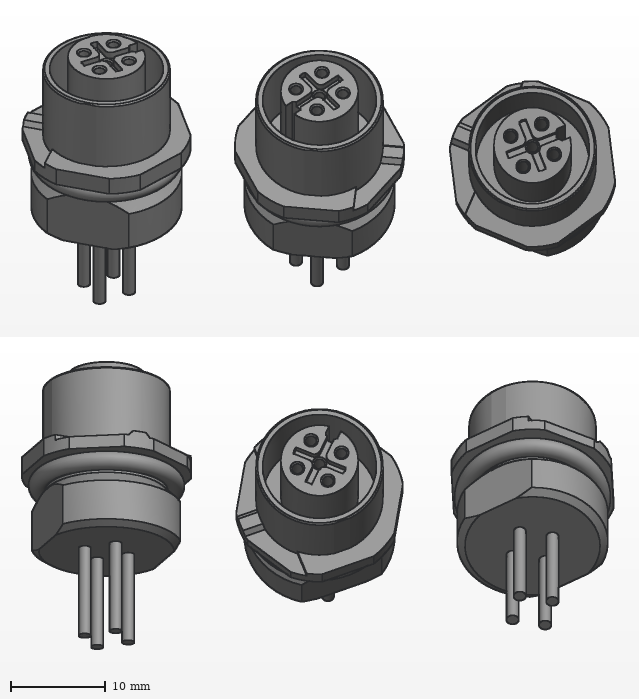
import cadquery as cq
import math

pin_length = 10.0
nut_bevel_top = 10.58
nut_shoulder = 15.0
oring_level = 17.52
flange_bottom = 18.55
step_level = 19.92
flange_top = 20.52
shell_top = 28.5
insert_top = 30.05

nut_radius = 8.02
nut_bottom_radius = 7.18
neck_radius = 6.55
neck_bottom = nut_shoulder + nut_radius - neck_radius
shell_radius = 6.75
shell_bore_radius = 6.05
shell_chamfer = 0.18
front_flat_angle = -45
back_flat_angle = front_flat_angle + 180
nut_front_flat = 6.6
nut_back_flat = 6.82
shell_flat = 6.7
oring_radius = 8.3
oring_section_radius = 1.0

flange_radius = 18.0 / 2
hex_across_flats = 17.0
hex_corner_angle = 45
key_angle = -135
step_distance = 4.45
ridge_top_width = 1.45
ridge_height = 0.5

insert_radius = 8.2 / 2
keyway_width = 1.38
keyway_bottom = 2.75
keyway_sagitta = 0.4
cross_width = 0.78
cross_reach = 2.85
cross_end_bulge = 0.1
cross_depth = 0.78
cross_corner_radius = 0.7
contact_offset = 1.77
contact_radius = 0.57
contact_mouth_radius = 0.75
contact_depth = 6.0
pin_radius = 0.65


def cylinder(radius, bottom, top):
    return cq.Workplane("XY").workplane(offset=bottom).circle(radius).extrude(top - bottom)


def revolve_profile(points):
    """Solid of revolution about Z from (radius, height) points."""
    return cq.Workplane("XZ").polyline(points).close().revolve(360, (0, 0, 0), (0, 1, 0))


def contact_places():
    return [(sx * contact_offset, sy * contact_offset) for sx in (-1, 1) for sy in (-1, 1)]


def beyond_flat(distance, angle, bottom, top):
    """Block lying outside a flat at the given distance and direction from the axis."""
    return (
        cq.Workplane("XY")
        .box(flange_radius, 2 * flange_radius, top - bottom, centered=(False, True, False))
        .translate((distance, 0, bottom))
        .rotate((0, 0, 0), (0, 0, 1), angle)
    )


def make_core():
    """Turned nut, neck and shell with opposite flats cut on the nut and the shell."""
    profile = [
        (0, pin_length),
        (nut_bottom_radius, pin_length),
        (nut_radius, nut_bevel_top),
        (nut_radius, nut_shoulder),
        (neck_radius, neck_bottom),
        (neck_radius, flange_bottom),
        (shell_radius, flange_bottom),
        (shell_radius, shell_top - shell_chamfer),
        (shell_radius - shell_chamfer, shell_top),
        (0, shell_top),
    ]
    core = revolve_profile(profile)
    core = core.cut(beyond_flat(nut_front_flat, front_flat_angle, pin_length, flange_bottom))
    core = core.cut(beyond_flat(nut_back_flat, back_flat_angle, pin_length, flange_bottom))
    for angle in (front_flat_angle, back_flat_angle):
        core = core.cut(beyond_flat(shell_flat, angle, flange_bottom, shell_top))
    return core


def make_oring():
    ring_radius = oring_radius - oring_section_radius
    section = cq.Workplane("XZ").center(ring_radius, oring_level).circle(oring_section_radius)
    return section.revolve(360, (-ring_radius, 0, 0), (-ring_radius, 1, 0))


def make_flange():
    """Hexagon with rounded corners, one side lowered except for a tapered ridge."""
    thickness = flange_top - flange_bottom
    across_corners = hex_across_flats / math.cos(math.pi / 6)
    disc = cylinder(flange_radius, flange_bottom, flange_top)
    hexagon = (
        cq.Workplane("XY")
        .workplane(offset=flange_bottom)
        .polygon(6, across_corners)
        .extrude(thickness)
        .rotate((0, 0, 0), (0, 0, 1), hex_corner_angle)
    )
    blank = disc.intersect(hexagon)
    lowered_side = beyond_flat(step_distance, key_angle, step_level, flange_top)
    half_top = ridge_top_width / 2
    half_base = half_top + ridge_height
    ridge_top = step_level + ridge_height
    ridge = (
        cq.Workplane("YZ")
        .polyline([
            (-half_base, step_level),
            (half_base, step_level),
            (half_top, ridge_top),
            (-half_top, ridge_top),
        ])
        .close()
        .extrude(flange_radius)
        .rotate((0, 0, 0), (0, 0, 1), key_angle)
        .intersect(blank)
    )
    return blank.cut(lowered_side).union(ridge)


def make_keyway():
    """Slot down the side of the insert, open outwards, with a curved inner end."""
    half = keyway_width / 2
    shoulder = keyway_bottom + keyway_sagitta
    open_end = insert_radius + half
    return (
        cq.Workplane("XY")
        .workplane(offset=flange_top)
        .moveTo(-half, open_end)
        .lineTo(-half, shoulder)
        .threePointArc((0, keyway_bottom), (half, shoulder))
        .lineTo(half, open_end)
        .close()
        .extrude(insert_top - flange_top)
    )


def make_cross():
    """Cross-shaped recess, with rounded corners where its arms meet."""
    floor = insert_top - cross_depth
    half = cross_width / 2
    tip = cross_reach + cross_end_bulge
    sketch = cq.Workplane("XY").workplane(offset=floor)
    level_arm = (
        sketch.moveTo(-cross_reach, -half)
        .lineTo(cross_reach, -half)
        .threePointArc((tip, 0), (cross_reach, half))
        .lineTo(-cross_reach, half)
        .threePointArc((-tip, 0), (-cross_reach, -half))
        .close()
        .extrude(cross_depth)
    )
    upright_arm = sketch.rect(cross_width, 2 * cross_reach).extrude(cross_depth)
    corners = cq.selectors.BoxSelector(
        (-cross_width, -cross_width, floor), (cross_width, cross_width, insert_top)
    )
    cross = level_arm.union(upright_arm)
    return cross.edges("|Z").edges(corners).fillet(cross_corner_radius)


def make_contact_hole(x, y, mouth_level):
    """Blind hole with a 45 degree countersunk mouth."""
    sink = contact_mouth_radius - contact_radius
    profile = [
        (0, mouth_level),
        (contact_mouth_radius, mouth_level),
        (contact_radius, mouth_level - sink),
        (contact_radius, insert_top - contact_depth),
        (0, insert_top - contact_depth),
    ]
    return revolve_profile(profile).translate((x, y, 0))


def make_insert():
    insert = cylinder(insert_radius, flange_top, insert_top)
    insert = insert.cut(make_keyway()).cut(make_cross())
    insert = insert.cut(make_contact_hole(0, 0, insert_top - cross_depth))
    for x, y in contact_places():
        insert = insert.cut(make_contact_hole(x, y, insert_top))
    return insert


def make_pins():
    return cq.Workplane("XY").pushPoints(contact_places()).circle(pin_radius).extrude(pin_length)


bore = cylinder(shell_bore_radius, flange_top, shell_top)
result = make_core().union(make_flange()).cut(bore).union(make_oring())
result = result.union(make_insert()).union(make_pins())